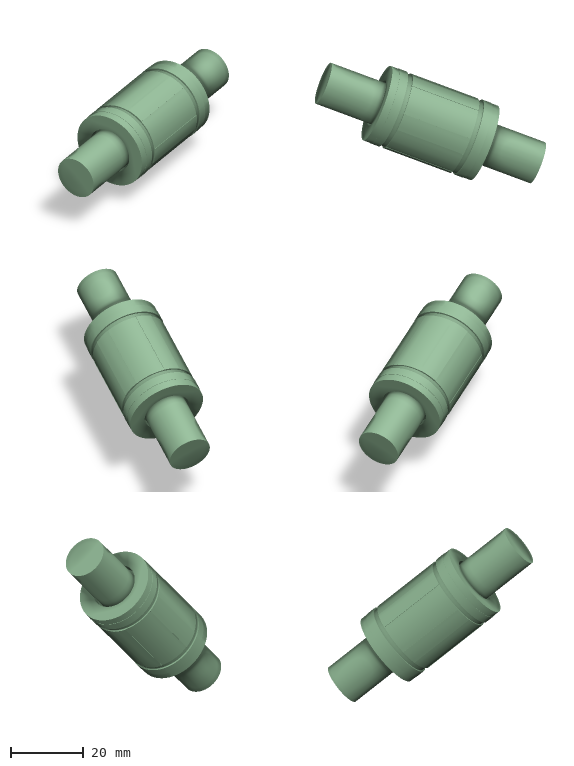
import cadquery as cq

shaft_length = 64.0
shaft_diameter = 12.0

sleeve_length = 32.0
end_diameter = 21.8
groove_diameter = 21.0
collar_diameter = 22.0
collar_length = 2.5
end_land_length = 2.2
body_length = 19.85
body_diameter = 21.75

recess_diameter = 13.2
recess_depth = 2.2

pad_count = 5
pad_diameter = 22.0
pad_angle = 25.6
first_pad_angle = 54.0
full_turn = 360.0


def cylinder(diameter, length, center_y=0.0):
    """Cylinder along Y with its middle at center_y."""
    start_y = center_y - length / 2
    return cq.Workplane("XZ", origin=(0, start_y, 0)).circle(diameter / 2).extrude(-length)


def pad(start_angle):
    """Thin curved pad, starting at an angle from +X toward +Z."""
    inner_radius = groove_diameter / 2
    outer_radius = pad_diameter / 2
    return (
        cq.Workplane("XY")
        .moveTo(inner_radius, -body_length / 2)
        .rect(outer_radius - inner_radius, body_length, centered=False)
        .revolve(pad_angle, (0, 0, 0), (0, -1, 0))
        .rotate((0, 0, 0), (0, -1, 0), start_angle)
    )


sleeve = cylinder(groove_diameter, sleeve_length)
sleeve = sleeve.union(cylinder(body_diameter, body_length))
for side in (-1, 1):
    land_y = side * (sleeve_length - end_land_length) / 2
    collar_y = side * (sleeve_length / 2 - end_land_length - collar_length / 2)
    sleeve = sleeve.union(cylinder(end_diameter, end_land_length, land_y))
    sleeve = sleeve.union(cylinder(collar_diameter, collar_length, collar_y))

for index in range(pad_count):
    sleeve = sleeve.union(pad(first_pad_angle + index * full_turn / pad_count))

for side in (-1, 1):
    recess_y = side * (sleeve_length - recess_depth) / 2
    sleeve = sleeve.cut(cylinder(recess_diameter, recess_depth, recess_y))

result = sleeve.union(cylinder(shaft_diameter, shaft_length))